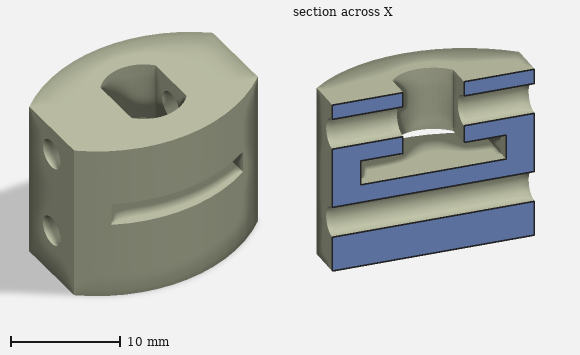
import cadquery as cq

body_width = 15.0
body_length = 20.0
body_height = 17.0
end_flat_width = 7.65

bore_diameter = 8.0
bore_across_flats = 6.0

slot_length = 14.32
slot_height = 2.4
slot_floor = 8.35

cross_hole_diameter = 3.0
cross_hole_depths = (3.0, 12.0)


def make_body():
    half_width = body_width / 2
    half_length = body_length / 2
    half_flat = end_flat_width / 2
    return (
        cq.Workplane("XY")
        .moveTo(-half_flat, -half_length)
        .lineTo(half_flat, -half_length)
        .threePointArc((half_width, 0), (half_flat, half_length))
        .lineTo(-half_flat, half_length)
        .threePointArc((-half_width, 0), (-half_flat, -half_length))
        .close()
        .extrude(body_height)
    )


def make_bore():
    depth = body_height - slot_floor
    base = cq.Workplane("XY").workplane(offset=slot_floor)
    cylinder = base.circle(bore_diameter / 2).extrude(depth)
    flats = base.rect(bore_diameter, bore_across_flats).extrude(depth)
    return cylinder.intersect(flats)


def make_slot():
    return (
        cq.Workplane("XY")
        .workplane(offset=slot_floor)
        .rect(body_width, slot_length)
        .extrude(slot_height)
    )


def make_cross_hole(depth_below_top):
    return (
        cq.Workplane("XZ")
        .center(0, body_height - depth_below_top)
        .circle(cross_hole_diameter / 2)
        .extrude(body_length / 2, both=True)
    )


result = make_body().cut(make_bore()).cut(make_slot())
for hole_depth in cross_hole_depths:
    result = result.cut(make_cross_hole(hole_depth))